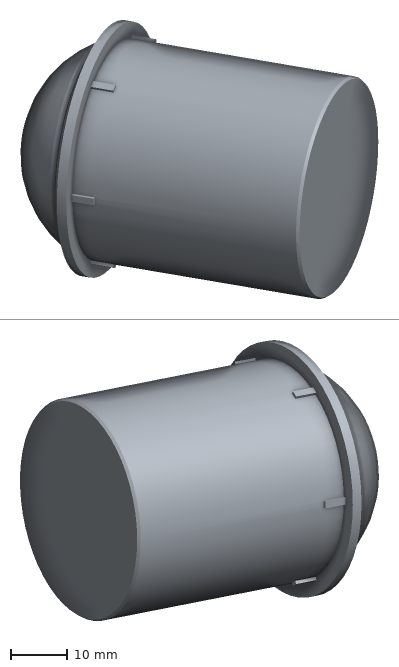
import cadquery as cq

total_length = 58.85
dome_height = 11.25
cone_start = 12.35
rim_front = 14.1
rim_thickness = 1.8
rim_back = rim_front + rim_thickness

dome_radius = 18.95
collar_radius = 19.4
rim_radius = 46.0 / 2
body_radius = 40.0 / 2

bevel_length = 0.55
bevel_depth = 0.35

rib_count = 6
rib_length = 4.25
rib_width = 1.3
rib_radius = 20.6
rib_overlap = 0.9


def make_body():
    """Dome, flared rim and cylindrical barrel revolved about the X axis."""
    sphere_radius = (dome_height**2 + dome_radius**2) / (2 * dome_height)
    mid_x = dome_height / 2
    mid_radius = (sphere_radius**2 - (sphere_radius - mid_x) ** 2) ** 0.5
    profile = (
        cq.Workplane("XY")
        .moveTo(0, 0)
        .threePointArc((mid_x, mid_radius), (dome_height, dome_radius))
        .lineTo(cone_start, collar_radius)
        .lineTo(rim_front, rim_radius)
        .lineTo(rim_back, rim_radius)
        .lineTo(rim_back, body_radius)
        .lineTo(total_length - bevel_length, body_radius)
        .lineTo(total_length, body_radius - bevel_depth)
        .lineTo(total_length, 0)
        .close()
    )
    return profile.revolve(360, (0, 0, 0), (1, 0, 0))


def make_rib(angle):
    """One rib lying on the barrel against the rim, turned about the X axis."""
    rib_height = rib_radius - body_radius + rib_overlap
    rib = cq.Workplane("XY").box(rib_length, rib_height, rib_width, centered=(False, False, True))
    rib = rib.translate((rim_back, body_radius - rib_overlap, 0))
    return rib.rotate((0, 0, 0), (1, 0, 0), angle)


result = make_body()
for index in range(rib_count):
    result = result.union(make_rib(index * 360 / rib_count))